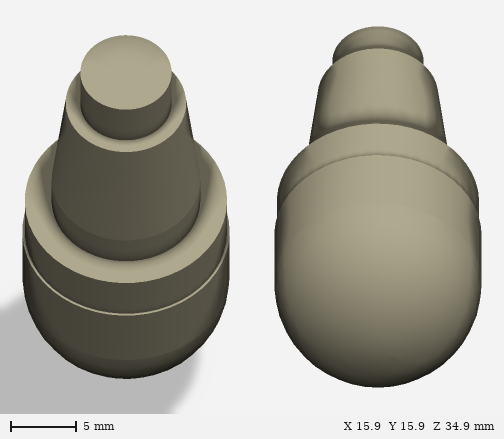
import cadquery as cq

TOTAL_HEIGHT = 34.9
CAP_TOP = 13.85
COLLAR_HEIGHT = 4.05
NECK_HEIGHT = 2.75
PEG_HEIGHT = 4.05

CAP_DIAMETER = 15.9
COLLAR_DIAMETER = 15.53
NECK_DIAMETER = 11.4
TAPER_TOP_DIAMETER = 9.25
PEG_DIAMETER = 7.0

CAP_RADIUS = CAP_DIAMETER / 2
COLLAR_TOP = CAP_TOP + COLLAR_HEIGHT
NECK_TOP = COLLAR_TOP + NECK_HEIGHT
TAPER_TOP = TOTAL_HEIGHT - PEG_HEIGHT


def make_cap():
    """Solid cylinder with a hemispherical lower end."""
    dome_middle = CAP_RADIUS * 0.5**0.5
    profile = (
        cq.Workplane("XZ")
        .moveTo(0, 0)
        .threePointArc((dome_middle, CAP_RADIUS - dome_middle), (CAP_RADIUS, CAP_RADIUS))
        .lineTo(CAP_RADIUS, CAP_TOP)
        .lineTo(0, CAP_TOP)
        .close()
    )
    return profile.revolve(360, (0, 0, 0), (0, 1, 0))


def make_stem():
    """Collar seated on the cap, then a neck, a taper and an end peg."""
    profile = (
        cq.Workplane("XZ")
        .moveTo(0, CAP_TOP)
        .lineTo(COLLAR_DIAMETER / 2, CAP_TOP)
        .lineTo(COLLAR_DIAMETER / 2, COLLAR_TOP)
        .lineTo(NECK_DIAMETER / 2, COLLAR_TOP)
        .lineTo(NECK_DIAMETER / 2, NECK_TOP)
        .lineTo(TAPER_TOP_DIAMETER / 2, TAPER_TOP)
        .lineTo(PEG_DIAMETER / 2, TAPER_TOP)
        .lineTo(PEG_DIAMETER / 2, TOTAL_HEIGHT)
        .lineTo(0, TOTAL_HEIGHT)
        .close()
    )
    return profile.revolve(360, (0, 0, 0), (0, 1, 0))


cap = make_cap()
stem = make_stem()
result = cq.Compound.makeCompound([cap.val(), stem.val()])